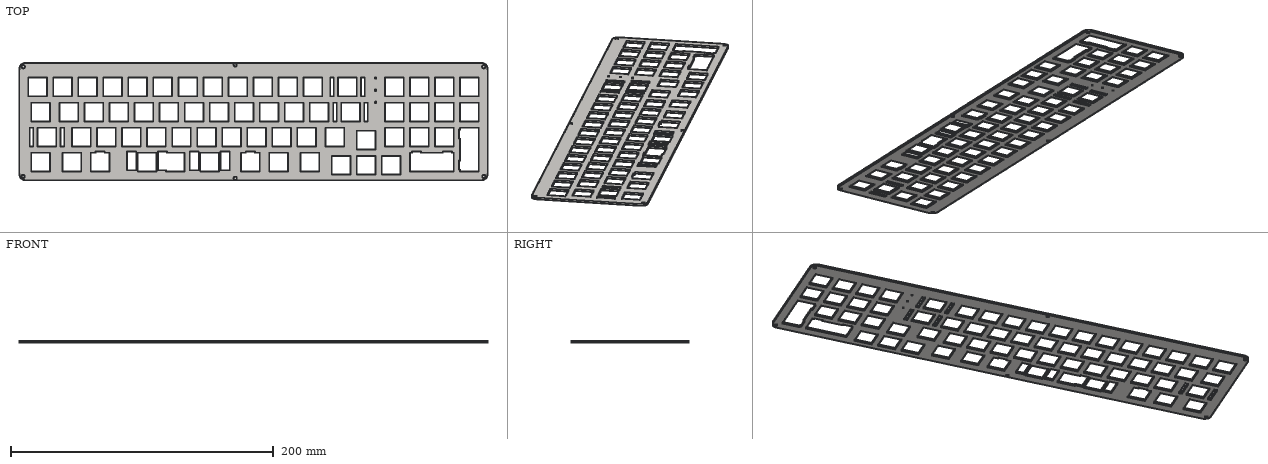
import cadquery as cq


plate_length = 356.5
plate_width = 89.5
plate_thickness = 1.6
corner_radius = 5.0

edge_to_key_centre = 14.0
grid_columns = 18.25
grid_rows = 4
bottom_row = grid_rows - 1
arrow_up_row = bottom_row - 1
key_pitch = (plate_length - 2 * edge_to_key_centre) / (grid_columns - 1)
key_bar = 5.0
switch_size = key_pitch - key_bar
arrow_drop = key_pitch / 8

stabilizer_reach = 11.8
space_bar_reach = 3 * key_pitch
slot_width = 2.5
clip_width = 6.8
clip_shift = 0.9

screw_diameter = 2.3
corner_screw_inset = 3.03
middle_screw_x = -14.0
middle_screw_inset = 1.6
light_diameter = 1.0
light_column = 14
light_top_y = 33.0
light_count = 3
light_spacing = 9.3

number_pad_start = 14.75
backspace = 12.875
enter = 13.0
left_shift = 0.875
left_space = 4.875
right_space = 7.375
space_bar = 6.0
main_rows = [
    [0.5 + i for i in range(12)] + [backspace],
    [0.625] + [1.75 + i for i in range(11)] + [enter],
    [left_shift] + [2.25 + i for i in range(10)] + [12.375],
    [0.625, 1.875, 3.0, left_space, space_bar, right_space, 9.0, 10.125, 11.375],
]
arrow_up = 13.625
arrow_row = [arrow_up - 1, arrow_up, arrow_up + 1]
pad_rows = [
    [number_pad_start + i for i in range(4)],
    [number_pad_start + i for i in range(4)],
    [number_pad_start + i for i in range(3)],
]
pad_zero = number_pad_start + 1.5
pad_enter = number_pad_start + 3
pad_enter_row = 2.5


def column_x(column):
    """X of a key centre given in key units from the left side of the grid."""
    return (column - grid_columns / 2) * key_pitch


def row_y(row):
    """Y of a key row, counted from 0 at the top row."""
    bottom_row_y = -plate_width / 2 + edge_to_key_centre
    return bottom_row_y + (bottom_row - row) * key_pitch


def holes(points, length, width):
    """Rectangular cutters through the plate at the given points."""
    return cq.Workplane("XY").pushPoints(points).rect(length, width).extrude(plate_thickness)


def stabilizer_pair(column, row, reach):
    """Centres of the two stabilizer cutouts of a wide key."""
    return [(column_x(column) + side * reach, row_y(row)) for side in (-1, 1)]


def switch_cutters():
    """Square holes for the single switches."""
    points = []
    for rows in (main_rows, pad_rows):
        for row, columns in enumerate(rows):
            points += [(column_x(column), row_y(row)) for column in columns]
    points.append((column_x(arrow_up), row_y(arrow_up_row) - arrow_drop))
    points += [(column_x(column), row_y(bottom_row) - arrow_drop) for column in arrow_row]
    return holes(points, switch_size, switch_size)


def slot_cutters():
    """Narrow stabilizer slots beside backspace, enter and left shift."""
    points = []
    for row, column in enumerate((backspace, enter, left_shift)):
        points += stabilizer_pair(column, row, stabilizer_reach)
    return holes(points, slot_width, switch_size)


def clip_cutters():
    """Wide stabilizer cutouts of the bottom row, set slightly above the switches."""
    points = stabilizer_pair(space_bar, bottom_row, space_bar_reach)
    for column in (left_space, right_space, pad_zero):
        points += stabilizer_pair(column, bottom_row, stabilizer_reach)
    return holes(points, clip_width, switch_size).translate((0, clip_shift, 0))


def double_key_cutters():
    """Two-unit openings for the number pad zero and enter keys."""
    double_size = key_pitch + switch_size
    enter_x = column_x(pad_enter)
    enter_y = row_y(pad_enter_row)
    clips = [(enter_x - clip_shift, enter_y + side * stabilizer_reach) for side in (-1, 1)]
    zero = holes([(column_x(pad_zero), row_y(bottom_row))], double_size, switch_size)
    tall = holes([(enter_x, enter_y)], switch_size, double_size)
    return zero.union(tall).union(holes(clips, switch_size, clip_width))


def round_cutters():
    """Screw holes along the rim and the three indicator light holes."""
    corner_x = plate_length / 2 - corner_screw_inset
    corner_y = plate_width / 2 - corner_screw_inset
    middle_y = plate_width / 2 - middle_screw_inset
    screws = [(x, y) for x in (-corner_x, corner_x) for y in (-corner_y, corner_y)]
    screws += [(middle_screw_x, y) for y in (-middle_y, middle_y)]
    lights = [(column_x(light_column), light_top_y - i * light_spacing) for i in range(light_count)]
    screw_holes = cq.Workplane("XY").pushPoints(screws).circle(screw_diameter / 2).extrude(plate_thickness)
    light_holes = cq.Workplane("XY").pushPoints(lights).circle(light_diameter / 2).extrude(plate_thickness)
    return screw_holes.union(light_holes)


plate = (
    cq.Workplane("XY")
    .box(plate_length, plate_width, plate_thickness, centered=(True, True, False))
    .edges("|Z")
    .fillet(corner_radius)
)
result = (
    plate.cut(switch_cutters())
    .cut(slot_cutters())
    .cut(clip_cutters())
    .cut(double_key_cutters())
    .cut(round_cutters())
)